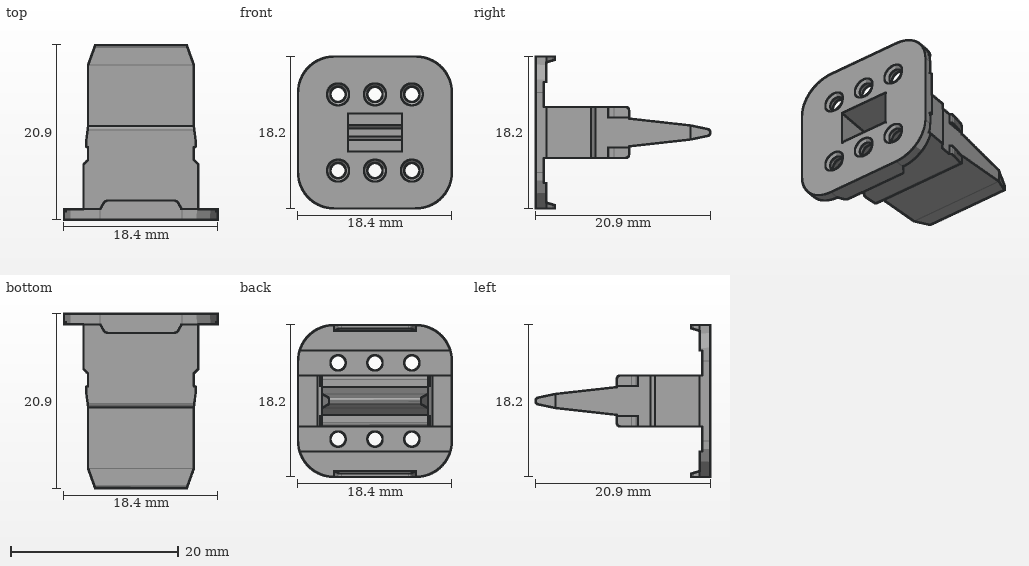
import cadquery as cq


plate_width = 18.41
plate_height = 18.18
plate_corner_radius = 4.33
plate_thickness = 1.3
recess_floor_y = 0.98
recess_outer_z = 6.02

hole_diameter = 1.8
countersink_diameter = 2.63
countersink_depth = 0.42
hole_pitch_x = 4.4
hole_z = 4.55
hole_columns = 3

tab_end_y = 2.3
tab_base_half_width = plate_width / 2 - plate_corner_radius
tab_tip_half_width = 4.28
tab_corner_radius = 0.52
tab_base_thickness = 0.71
tab_tip_thickness = 0.42

body_half_height = 3.07
body_end_y = 11.2
body_end_radius = 0.48
body_half_width = 6.88
shoulder_start_y = 6.63
shoulder_end_y = 7.17
nose_half_width = 6.33

latch_half_width = 6.56
latch_inner_z = 1.78
latch_start_y = 8.65
latch_crest_start_y = 8.75
latch_crest_radius = 0.17
latch_crest_end_y = 9.4

wedge_base_half_height = 1.67
wedge_break_y = 18.52
wedge_break_half_height = 0.85
wedge_tip_y = 20.9
wedge_tip_half_width = 5.48
wedge_tip_half_height = 0.35
wedge_tip_radius = 0.4

cavity_half_width = 3.24
cavity_half_height = 2.25
wall_thickness = body_half_height - cavity_half_height
cavity_floor_y = body_end_y - wall_thickness
slot_mouth_half_height = 0.9
slot_floor_half_height = 0.5
wedge_slope = (wedge_base_half_height - wedge_break_half_height) / (wedge_break_y - body_end_y)
slot_depth = (slot_mouth_half_height - slot_floor_half_height) / wedge_slope
slot_floor_y = cavity_floor_y + slot_depth


def box(x_min, x_max, y_min, y_max, z_min, z_max):
    size = (x_max - x_min, y_max - y_min, z_max - z_min)
    return cq.Workplane("XY").box(*size, centered=False).translate((x_min, y_min, z_min))


def plan_prism(half_outline, z_min, z_max):
    """Extrude in Z an outline given as (half width, y) points and mirrored in X."""
    mirrored = [(-x, y) for x, y in reversed(half_outline)]
    outline = cq.Workplane("XY").workplane(offset=z_min).polyline(half_outline + mirrored)
    return outline.close().extrude(z_max - z_min)


def side_prism(half_outline, half_width):
    """Extrude in X an outline given as (y, half height) points and mirrored in Z."""
    mirrored = [(y, -z) for y, z in reversed(half_outline)]
    outline = cq.Workplane("YZ").polyline(half_outline + mirrored).close()
    return outline.extrude(half_width, both=True)


def mirrored_in_z(solid):
    return solid.union(solid.mirror("XY"))


def make_plate():
    plate = box(-plate_width / 2, plate_width / 2, 0, plate_thickness, -plate_height / 2, plate_height / 2)
    plate = plate.edges("|Y").fillet(plate_corner_radius)
    recess = box(-plate_width, plate_width, recess_floor_y, plate_thickness, body_half_height, recess_outer_z)
    return plate.cut(mirrored_in_z(recess))


def make_tabs():
    outer_z = plate_height / 2
    tab = plan_prism(
        [
            (tab_base_half_width, 0),
            (tab_base_half_width, plate_thickness),
            (tab_tip_half_width, tab_end_y),
        ],
        outer_z - tab_base_thickness,
        outer_z,
    )
    tab = tab.edges("|Z and >Y").fillet(tab_corner_radius)
    tab_section = (
        cq.Workplane("YZ")
        .polyline(
            [
                (0, outer_z),
                (tab_end_y, outer_z),
                (tab_end_y, outer_z - tab_tip_thickness),
                (plate_thickness, outer_z - tab_base_thickness),
                (0, outer_z - tab_base_thickness),
            ]
        )
        .close()
        .extrude(plate_width, both=True)
    )
    return mirrored_in_z(tab.intersect(tab_section))


def make_body():
    body = plan_prism(
        [
            (body_half_width, 0),
            (body_half_width, shoulder_start_y),
            (nose_half_width, shoulder_end_y),
            (nose_half_width, body_end_y),
        ],
        -body_half_height,
        body_half_height,
    )
    latch = plan_prism(
        [
            (nose_half_width, latch_start_y),
            (latch_half_width, latch_crest_start_y),
            (latch_half_width, latch_crest_end_y),
            (nose_half_width, body_end_y),
        ],
        latch_inner_z,
        body_half_height,
    )
    latch = latch.edges("|Z").edges("<X or >X").edges("<Y").fillet(latch_crest_radius)
    body = body.union(mirrored_in_z(latch))
    rounded_section = side_prism([(0, body_half_height), (body_end_y, body_half_height)], body_half_width)
    rounded_section = rounded_section.edges("|X and >Y").fillet(body_end_radius)
    return body.intersect(rounded_section)


def make_wedge():
    wedge = side_prism(
        [
            (body_end_y, wedge_base_half_height),
            (wedge_break_y, wedge_break_half_height),
            (wedge_tip_y, wedge_tip_half_height),
        ],
        nose_half_width,
    )
    wedge = wedge.edges("|X and >Y").fillet(wedge_tip_radius)
    tapered_plan = plan_prism(
        [
            (nose_half_width, body_end_y),
            (nose_half_width, wedge_break_y),
            (wedge_tip_half_width, wedge_tip_y),
        ],
        -body_half_height,
        body_half_height,
    )
    return wedge.intersect(tapered_plan)


def make_cavity():
    return side_prism(
        [
            (0, cavity_half_height),
            (cavity_floor_y, cavity_half_height),
            (cavity_floor_y, slot_mouth_half_height),
            (slot_floor_y, slot_floor_half_height),
        ],
        cavity_half_width,
    )


def make_holes():
    countersunk_hole = (
        cq.Workplane("XY")
        .polyline(
            [
                (0, 0),
                (countersink_diameter / 2, 0),
                (hole_diameter / 2, countersink_depth),
                (hole_diameter / 2, plate_thickness),
                (0, plate_thickness),
            ]
        )
        .close()
        .revolve(360, (0, 0, 0), (0, 1, 0))
    )
    holes = cq.Workplane("XY")
    for column in range(hole_columns):
        x = (column - (hole_columns - 1) / 2) * hole_pitch_x
        for z in (-hole_z, hole_z):
            holes = holes.add(countersunk_hole.translate((x, 0, z)))
    return holes.combine()


result = (
    make_plate()
    .union(make_tabs())
    .union(make_body())
    .union(make_wedge())
    .cut(make_cavity())
    .cut(make_holes())
)